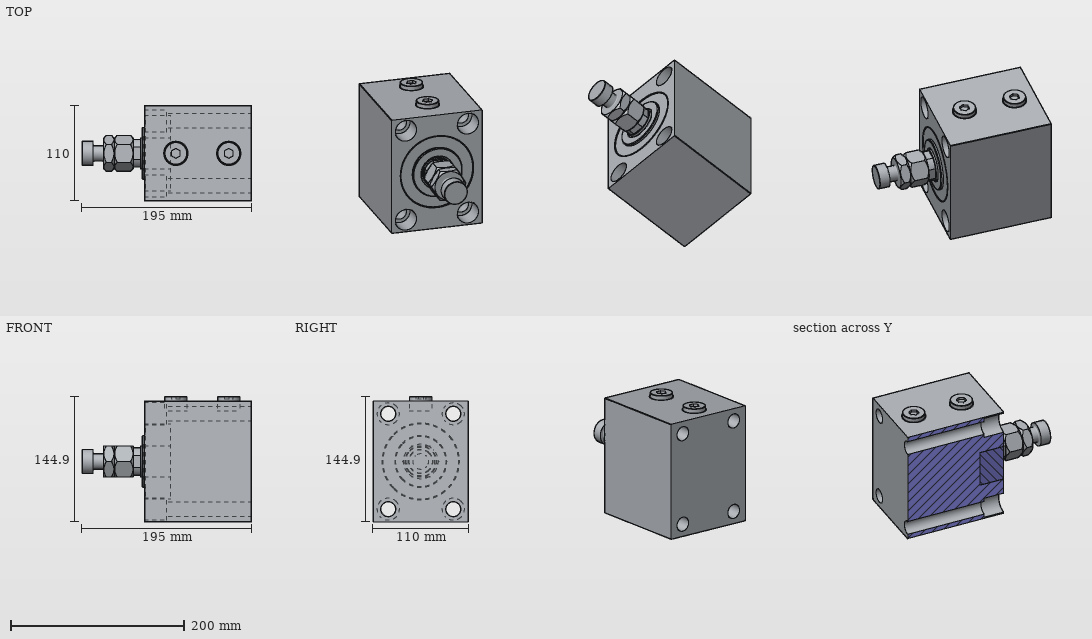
import cadquery as cq
import math


BLOCK_LENGTH = 123.0
BLOCK_WIDTH = 110.0
BLOCK_HEIGHT = 140.0
BLOCK_EDGE_CHAMFER = 0.6
BLOCK_TOP = BLOCK_HEIGHT / 2

BOLT_SPACING_Y = 75.0
BOLT_SPACING_Z = 110.0
BOLT_HOLE_DIAMETER = 17.0
COUNTERBORE_DIAMETER = 25.5
COUNTERBORE_DEPTH = 25.0

GLAND_DIAMETER = 87.0
GLAND_DEPTH = 30.0
GLAND_BOSS_DIAMETER = 60.0
GLAND_BOSS_LENGTH = 3.0
GLAND_BOSS_CHAMFER = 1.0
GLAND_SEAT_CHAMFER = 1.0
GLAND_SEAT_ANGLE = 45.0
WIPER_RECESS_DIAMETER = 40.0
WIPER_RECESS_DEPTH = 2.0

ROD_DIAMETER = 36.0
ROD_PROJECTION = 2.0
ROD_CHAMFER = 0.5
ROD_TIP_DIAMETER = ROD_DIAMETER - 2 * ROD_CHAMFER
ROD_TIP_LENGTH = 8.0
ROD_TIP_FLATS = 32.0

HEX_ACROSS_FLATS = 36.0
HEX_FACE_DIAMETER = 35.0
LONG_HEX_LENGTH = 22.0
SHORT_HEX_LENGTH = 12.5
NECK_DIAMETER = 18.0
NECK_LENGTH = 12.0
HEAD_FILLET = 1.5
HEX_FILLET = 1.0
HEAD_DIAMETER = 28.0
HEAD_LENGTH = 12.5
HEAD_CHAMFER = 0.5

PLUG_POSITIONS_X = (36.0, 97.0)
PLUG_DIAMETER = 26.0
PLUG_PROJECTION = 4.9
PLUG_CHAMFER = 0.5
PORT_DEPTH = 12.0
SPOTFACE_DIAMETER = 28.0
SPOTFACE_DEPTH = 0.3
SOCKET_ACROSS_FLATS = 10.0
SOCKET_DEPTH = 3.0

GLAND_FACE_X = -GLAND_BOSS_LENGTH
ROD_SHOULDER_X = GLAND_FACE_X - ROD_PROJECTION
ROD_TIP_X = ROD_SHOULDER_X - ROD_TIP_LENGTH
LONG_HEX_X = ROD_TIP_X - LONG_HEX_LENGTH
SHORT_HEX_X = LONG_HEX_X - SHORT_HEX_LENGTH
NECK_X = SHORT_HEX_X - NECK_LENGTH
HEAD_X = NECK_X - HEAD_LENGTH

HEX_SIDES = 6


def across_corners(across_flats):
    return across_flats / math.cos(math.pi / HEX_SIDES)


def cross_section(x):
    """Workplane across the rod axis at x, extruding toward +X."""
    return cq.Workplane("YZ", origin=(x, 0, 0))


def disc(x, diameter, length):
    """Cylinder on the rod axis from x toward +X."""
    return cross_section(x).circle(diameter / 2).extrude(length)


def make_block():
    block = (
        cq.Workplane("XY")
        .box(BLOCK_LENGTH, BLOCK_WIDTH, BLOCK_HEIGHT)
        .translate((BLOCK_LENGTH / 2, 0, 0))
        .edges("|X")
        .chamfer(BLOCK_EDGE_CHAMFER)
    )
    bolt_pattern = cross_section(0).rect(BOLT_SPACING_Y, BOLT_SPACING_Z, forConstruction=True).vertices()
    block = block.cut(bolt_pattern.circle(BOLT_HOLE_DIAMETER / 2).extrude(BLOCK_LENGTH))
    block = block.cut(bolt_pattern.circle(COUNTERBORE_DIAMETER / 2).extrude(COUNTERBORE_DEPTH))

    gland_seat = disc(0, GLAND_DIAMETER, GLAND_DEPTH)
    seat_countersink = (
        cross_section(0)
        .circle(GLAND_DIAMETER / 2 + GLAND_SEAT_CHAMFER)
        .extrude(GLAND_SEAT_CHAMFER, taper=GLAND_SEAT_ANGLE)
    )
    block = block.cut(gland_seat).cut(seat_countersink)

    ports = cq.Workplane("XY", origin=(0, 0, BLOCK_TOP)).pushPoints([(x, 0) for x in PLUG_POSITIONS_X])
    block = block.cut(ports.circle(PLUG_DIAMETER / 2).extrude(-PORT_DEPTH))
    return block.cut(ports.circle(SPOTFACE_DIAMETER / 2).extrude(-SPOTFACE_DEPTH))


def make_gland():
    boss = disc(GLAND_FACE_X, GLAND_BOSS_DIAMETER, GLAND_BOSS_LENGTH)
    boss = boss.faces("<X").chamfer(GLAND_BOSS_CHAMFER)
    gland = disc(0, GLAND_DIAMETER, GLAND_DEPTH).union(boss)
    rod_bore = disc(GLAND_FACE_X, ROD_DIAMETER, GLAND_BOSS_LENGTH + GLAND_DEPTH)
    wiper_recess = disc(GLAND_FACE_X, WIPER_RECESS_DIAMETER, WIPER_RECESS_DEPTH)
    return gland.cut(rod_bore).cut(wiper_recess)


def make_rod():
    rod = disc(ROD_SHOULDER_X, ROD_DIAMETER, GLAND_DEPTH - ROD_SHOULDER_X)
    rod = rod.faces("<X").chamfer(ROD_CHAMFER)
    tip = disc(ROD_TIP_X, ROD_TIP_DIAMETER, ROD_TIP_LENGTH)
    wrench_square = cross_section(ROD_TIP_X).rect(ROD_TIP_FLATS, ROD_TIP_FLATS).extrude(ROD_TIP_LENGTH)
    return rod.union(tip.intersect(wrench_square))


def make_hex(x, length):
    """Hexagon with its corners turned down to a round face at both ends."""
    corners = across_corners(HEX_ACROSS_FLATS)
    turned_blank = disc(x, corners, length).faces("<X or >X").chamfer((corners - HEX_FACE_DIAMETER) / 2)
    return cross_section(x).polygon(HEX_SIDES, corners).extrude(length).intersect(turned_blank)


def make_neck():
    """Neck that flares with a fillet into the head at one end and the short hexagon at the other."""
    radius = NECK_DIAMETER / 2
    arc_middle = 1 - math.sqrt(0.5)
    head_arc_offset = HEAD_FILLET * arc_middle
    hex_arc_offset = HEX_FILLET * arc_middle
    return (
        cq.Workplane("XY")
        .moveTo(NECK_X, 0)
        .lineTo(NECK_X, radius + HEAD_FILLET)
        .threePointArc(
            (NECK_X + head_arc_offset, radius + head_arc_offset),
            (NECK_X + HEAD_FILLET, radius),
        )
        .lineTo(SHORT_HEX_X - HEX_FILLET, radius)
        .threePointArc(
            (SHORT_HEX_X - hex_arc_offset, radius + hex_arc_offset),
            (SHORT_HEX_X, radius + HEX_FILLET),
        )
        .lineTo(SHORT_HEX_X, 0)
        .close()
        .revolve(360, (0, 0, 0), (1, 0, 0))
    )


def make_coupling_stud():
    head = disc(HEAD_X, HEAD_DIAMETER, HEAD_LENGTH).faces("<X").chamfer(HEAD_CHAMFER)
    short_hex = make_hex(SHORT_HEX_X, SHORT_HEX_LENGTH)
    long_hex = make_hex(LONG_HEX_X, LONG_HEX_LENGTH)
    return head.union(make_neck()).union(short_hex).union(long_hex)


def make_plug(x):
    plug = (
        cq.Workplane("XY", origin=(x, 0, BLOCK_TOP - PORT_DEPTH))
        .circle(PLUG_DIAMETER / 2)
        .extrude(PORT_DEPTH + PLUG_PROJECTION)
        .faces(">Z")
        .chamfer(PLUG_CHAMFER)
    )
    socket = (
        cq.Workplane("XY", origin=(x, 0, BLOCK_TOP + PLUG_PROJECTION))
        .transformed(rotate=(0, 0, 360 / HEX_SIDES / 2))
        .polygon(HEX_SIDES, across_corners(SOCKET_ACROSS_FLATS))
        .extrude(-SOCKET_DEPTH)
    )
    return plug.cut(socket)


block = make_block()
gland = make_gland()
rod = make_rod()
coupling_stud = make_coupling_stud()
plugs = [make_plug(x) for x in PLUG_POSITIONS_X]

result = cq.Compound.makeCompound(
    [block.val(), gland.val(), rod.val(), coupling_stud.val(), *[plug.val() for plug in plugs]]
)